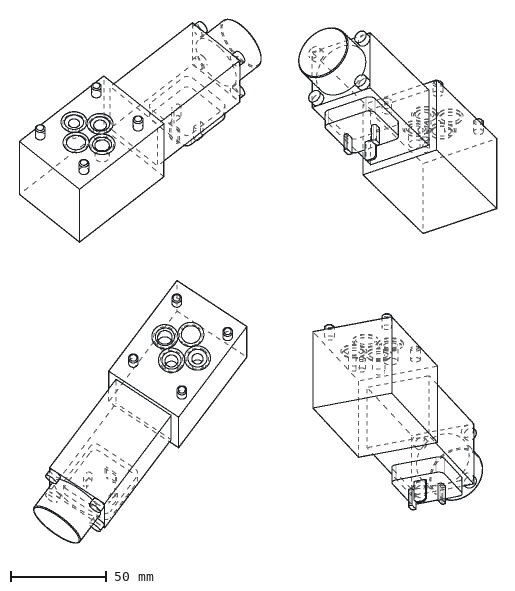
import cadquery as cq


block_size = 44.7
block_length = 62.0
port_face_z = block_size / 2

solenoid_size = 35.2
solenoid_length = 60.4
solenoid_end_y = block_length + solenoid_length
solenoid_bottom_z = -solenoid_size / 2

overall_length = 141.1
cap_diameter = 30.0
cap_length = overall_length - solenoid_end_y
cap_chamfer = 0.5

screw_head_diameter = 7.0
screw_head_height = 3.8
screw_offset = 13.95

pattern_center_x = -1.0
lower_bolt_y = 10.25
bolt_row_pitch = 40.5
lower_bolt_spacing = 32.5
upper_bolt_spacing = 31.0
bolt_diameter = 5.1
bolt_tip_chamfer = 0.7
overall_height = 68.07

port_row_from_bolts = 19.1
port_row_y = lower_bolt_y + port_row_from_bolts
port_offset_x = 10.4
port_offset_y = 8.8
ring_section_radius = 0.9
ring_center_radius = 5.9
ring_protrusion = 0.8
seat_depth = 2 * ring_section_radius - ring_protrusion
port_depth = 10.0
left_port_diameter = 5.8
upper_port_diameter = 6.7
right_port_diameter = 7.6

connector_width = 29.6
connector_length = 30.0
connector_height = 8.9
connector_corner_radius = 3.4
connector_inset = 6.3
connector_center_y = solenoid_end_y - connector_inset - connector_length / 2
connector_bottom_z = solenoid_bottom_z - connector_height

pin_offset_x = 8.5
pin_thickness = 2.4
pin_width = 5.2
pin_length = 9.8
pin_corner_radius = 1.2
pin_y = connector_center_y
blade_width = 6.5
blade_thickness = 1.0
blade_length = 12.2
blade_tip_chamfer = 1.3
blade_from_pins = 9.3
blade_y = pin_y - blade_from_pins

blade_bottom_z = connector_bottom_z - blade_length
bolt_height = overall_height + blade_bottom_z - port_face_z


def y_cylinder(diameter, length, x, y, z):
    """Cylinder starting at (x, y, z) and running toward +Y."""
    return cq.Workplane(cq.Solid.makeCylinder(
        diameter / 2, length, cq.Vector(x, y, z), cq.Vector(0, 1, 0)))


def hanging_bar(size_x, size_y, length, x, y, top_z):
    """Rectangular bar centred at (x, y), hanging down from top_z."""
    return (cq.Workplane("XY", origin=(x, y, top_z - length))
            .rect(size_x, size_y).extrude(length))


def make_bodies():
    """Valve block with the solenoid housing behind it."""
    block = cq.Workplane("XY").box(
        block_size, block_length, block_size, centered=(True, False, True))
    solenoid = cq.Workplane("XY", origin=(0, block_length, 0)).box(
        solenoid_size, solenoid_length, solenoid_size, centered=(True, False, True))
    return block.union(solenoid)


def make_end_cap():
    """Round cap with its four surrounding screw heads."""
    cap = y_cylinder(cap_diameter, cap_length, 0, solenoid_end_y, 0)
    cap = cap.faces(">Y").chamfer(cap_chamfer)
    for x in (-screw_offset, screw_offset):
        for z in (-screw_offset, screw_offset):
            cap = cap.union(y_cylinder(
                screw_head_diameter, screw_head_height, x, solenoid_end_y, z))
    return cap


def make_bolts():
    """Four mounting bolt ends standing on the port face."""
    rows = (
        (lower_bolt_y, lower_bolt_spacing),
        (lower_bolt_y + bolt_row_pitch, upper_bolt_spacing),
    )
    points = [(pattern_center_x + side * spacing / 2, y)
              for y, spacing in rows for side in (-1, 1)]
    return (cq.Workplane("XY", origin=(0, 0, port_face_z))
            .pushPoints(points).circle(bolt_diameter / 2).extrude(bolt_height)
            .faces(">Z").chamfer(bolt_tip_chamfer))


def add_port(body, x, y, diameter):
    """Sink an O-ring seat, drill the port (if it has a diameter) and lay in the ring."""
    port_face = cq.Workplane("XY", origin=(x, y, port_face_z))
    body = body.cut(port_face.circle(ring_center_radius).extrude(-seat_depth))
    if diameter:
        body = body.cut(port_face.circle(diameter / 2).extrude(-port_depth))
    ring_z = port_face_z + ring_protrusion - ring_section_radius
    ring = cq.Solid.makeTorus(
        ring_center_radius, ring_section_radius, cq.Vector(x, y, ring_z), cq.Vector(0, 0, 1))
    return body.union(cq.Workplane(ring))


def add_ports(body):
    """Diamond of four ports; the one nearest the plain end is closed."""
    ports = (
        (-port_offset_x, 0, left_port_diameter),
        (port_offset_x, 0, right_port_diameter),
        (0, port_offset_y, upper_port_diameter),
        (0, -port_offset_y, None),
    )
    for dx, dy, diameter in ports:
        body = add_port(body, pattern_center_x + dx, port_row_y + dy, diameter)
    return body


def make_connector():
    """Connector base with two contact pins and an earth blade."""
    connector = hanging_bar(
        connector_width, connector_length, connector_height,
        0, connector_center_y, solenoid_bottom_z)
    connector = connector.edges("|Z").fillet(connector_corner_radius)

    for x, outer_side in ((-pin_offset_x, "<X"), (pin_offset_x, ">X")):
        pin = hanging_bar(pin_thickness, pin_width, pin_length, x, pin_y, connector_bottom_z)
        pin = pin.faces(outer_side).edges("|Z").fillet(pin_corner_radius)
        connector = connector.union(pin)

    blade = hanging_bar(
        blade_width, blade_thickness, blade_length, 0, blade_y, connector_bottom_z)
    blade = blade.faces("<Z").edges("|Y").chamfer(blade_tip_chamfer)
    return connector.union(blade)


valve = add_ports(make_bodies())
valve = valve.union(make_end_cap())
valve = valve.union(make_bolts())
result = valve.union(make_connector())